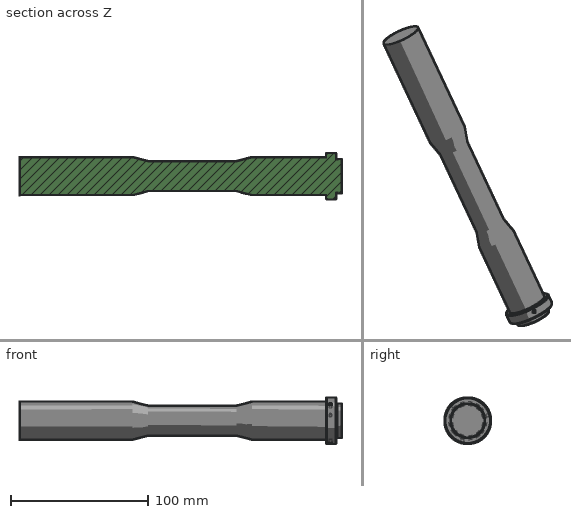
import cadquery as cq
import math

total_length = 234.8
barrel_radius = 28.0 / 2
waist_radius = 22.0 / 2
collar_radius = 34.0 / 2
spigot_radius = 25.4 / 2

waist_taper_start = 82.5
taper_length = 11.3
waist_length = 64.3
collar_start = 223.0
collar_width = 7.7
waist_start = waist_taper_start + taper_length
waist_end = waist_start + waist_length
collar_end = collar_start + collar_width

collar_chamfer = 0.7
spigot_chamfer = 0.5
relief_width = 0.7
relief_depth = 0.5

screw_count = 3
screw_diameter = 2.0
screw_depth = 3.0
screw_x = 226.3
first_screw_angle = 15.0


def make_cylinder(start, end, radius):
    return cq.Workplane("YZ", origin=(start, 0, 0)).circle(radius).extrude(end - start)


def make_body():
    """Barrel with a tapered waist, revolved from its half section."""
    section = (
        cq.Workplane("XY")
        .moveTo(0, 0)
        .lineTo(0, barrel_radius)
        .lineTo(waist_taper_start, barrel_radius)
        .lineTo(waist_start, waist_radius)
        .lineTo(waist_end, waist_radius)
        .lineTo(waist_end + taper_length, barrel_radius)
        .lineTo(collar_start, barrel_radius)
        .lineTo(collar_start, 0)
        .close()
    )
    return section.revolve(360, (0, 0, 0), (1, 0, 0))


def make_collar():
    return make_cylinder(collar_start, collar_end, collar_radius).edges().chamfer(collar_chamfer)


def make_spigot():
    """Short spigot on a slightly smaller relief neck."""
    neck_end = collar_end + relief_width
    neck = make_cylinder(collar_end, neck_end, spigot_radius - relief_depth)
    spigot = make_cylinder(neck_end, total_length, spigot_radius)
    return neck.union(spigot.faces(">X").edges().chamfer(spigot_chamfer))


def make_screw_hole(angle):
    """Cutter running inward from the collar surface."""
    outward = cq.Vector(0, math.cos(math.radians(angle)), math.sin(math.radians(angle)))
    start = cq.Vector(screw_x, 0, 0) + outward * collar_radius
    return cq.Workplane(cq.Solid.makeCylinder(screw_diameter / 2, screw_depth, start, outward * -1))


result = make_body().union(make_collar()).union(make_spigot())
for index in range(screw_count):
    result = result.cut(make_screw_hole(first_screw_angle + index * 360 / screw_count))